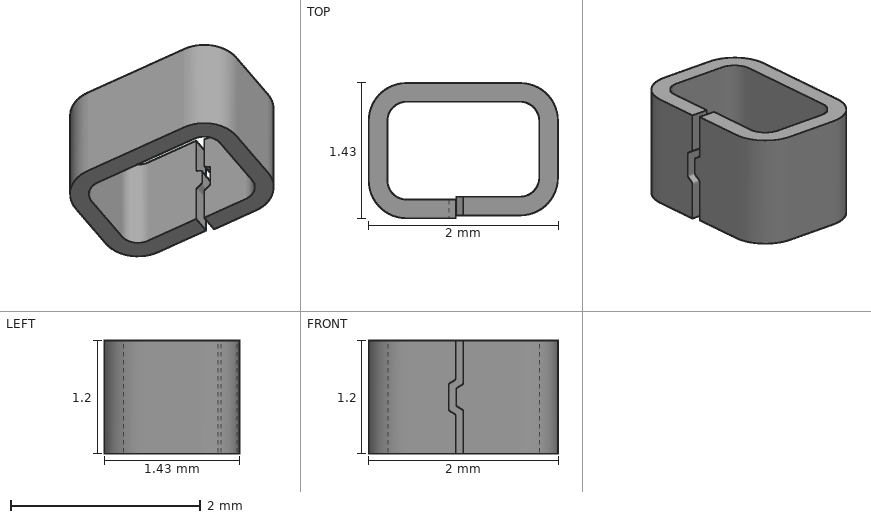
import cadquery as cq
import math

length = 2.0
width = 1.43
height = 1.2
wall = 0.2
outer_radius = 0.4
inner_radius = outer_radius - wall

end_offset = 0.03

seam_gap = 0.08
tab_depth = 0.075
flank_angle = 30.0
tab_tip_half_height = 0.095
notch_floor_half_height = 0.14
corner_radius = 0.035
tab_base_x = 0.0
notch_rim_x = tab_base_x - seam_gap

flank_rise = tab_depth * math.tan(math.radians(flank_angle))


def rounded_ring(ring_width):
    """Closed ring with its back face on the rear plane and the given width along Y."""
    center_y = (width - ring_width) / 2
    outer = (
        cq.Workplane("XY")
        .center(0, center_y)
        .rect(length, ring_width)
        .extrude(height)
        .edges("|Z")
        .fillet(outer_radius)
    )
    opening = (
        cq.Workplane("XY")
        .center(0, center_y)
        .rect(length - 2 * wall, ring_width - 2 * wall)
        .extrude(height)
        .edges("|Z")
        .fillet(inner_radius)
    )
    return outer.cut(opening)


def seam_block(side_x, edge_x, tip_half_height):
    """Block from side_x to a seam edge that steps toward -X around mid-height."""
    middle = height / 2
    tip_x = edge_x - tab_depth
    base_half_height = tip_half_height + flank_rise
    block = (
        cq.Workplane("XZ")
        .polyline(
            [
                (side_x, 0),
                (edge_x, 0),
                (edge_x, middle - base_half_height),
                (tip_x, middle - tip_half_height),
                (tip_x, middle + tip_half_height),
                (edge_x, middle + base_half_height),
                (edge_x, height),
                (side_x, height),
            ]
        )
        .close()
        .extrude(width / 2)
    )
    step_corners = cq.selectors.BoxSelector(
        (tip_x - corner_radius, -width, middle - base_half_height - corner_radius),
        (edge_x + corner_radius, width, middle + base_half_height + corner_radius),
    )
    return block.edges("|Y").edges(step_corners).fillet(corner_radius)


left_front = rounded_ring(width).intersect(
    seam_block(-length / 2, notch_rim_x, notch_floor_half_height)
)
right_front = rounded_ring(width - end_offset).intersect(
    seam_block(length / 2, tab_base_x, tab_tip_half_height)
)

rear_space = cq.Workplane("XY").box(length, width / 2, height, centered=(True, False, False))
rear = rounded_ring(width).intersect(rear_space)

result = rear.union(left_front).union(right_front).clean()